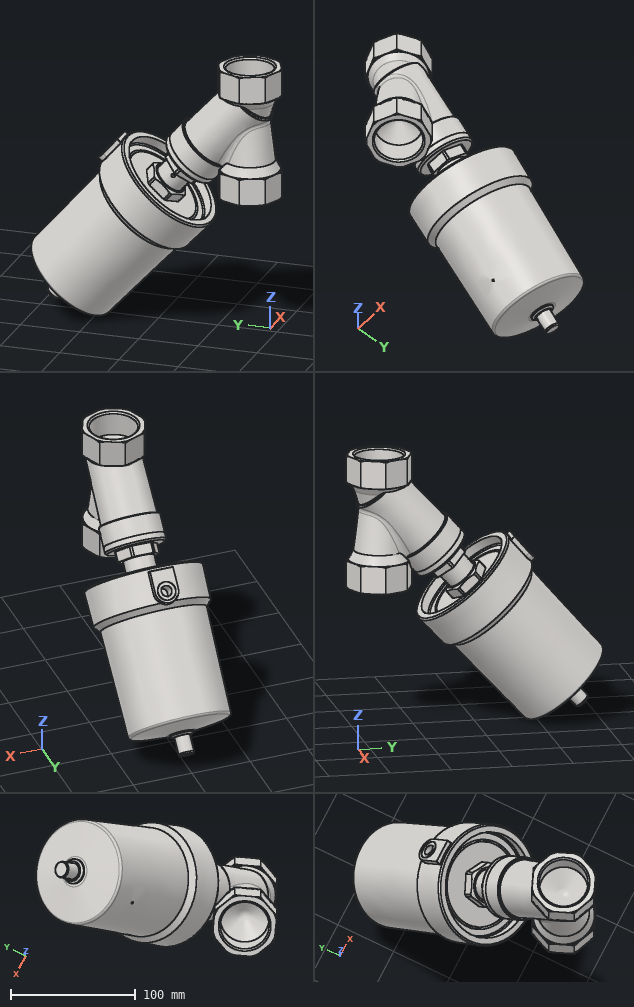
import cadquery as cq
import math

LEAN_ANGLE = 42.0
AXIS_OFFSET = 17.5

BODY_HALF_LENGTH = 55.0
SOCKET_LENGTH = 22.9
NECK_END = BODY_HALF_LENGTH - SOCKET_LENGTH
SOCKET_FLATS = 50.0
SOCKET_FACE_RADIUS = 25.8
SOCKET_BEVEL_ANGLE = 30.0
BORE_RADIUS = 19.5
BORE_MOUTH_RADIUS = 20.98
BORE_DEPTH = 21.0
BORE_POINT_ANGLE = 118.0
SHOULDER_RADIUS = 24.7
NECK_RADIUS = 20.6
LOWER_SHOULDER_HEIGHT = 8.0
UPPER_SHOULDER_HEIGHT = 5.8
LOWER_NECK_TOP = 11.2
LOWER_NECK_TIP_RADIUS = 16.4
UPPER_NECK_BOTTOM = 9.0
UPPER_NECK_TIP_RADIUS = 15.0
NECK_BLEND = 5.5

BRANCH_START = -22.0
BRANCH_START_RADIUS = 22.5
BRANCH_END_RADIUS = 23.3
BRANCH_START_CHAMFER = 1.1
BRANCH_OVERLENGTH = 6.7
SLEEVE_START = 34.3
SLEEVE_RADIUS = 25.4
SLEEVE_START_CHAMFER = 0.7
BONNET_SEAT = 51.0

FLANGE_END = 57.2
FLANGE_CHAMFER = 1.5
HEX_FLATS = 32.0
HEX_CORNER_FLAT = 2.0
BONNET_HEX_END = 66.0
TUBE_RADIUS = 13.0
WEEP_HOLE_DIAMETER = 3.0
WEEP_HOLE_DEPTH = 4.5
WEEP_HOLE_STATION = 71.1

COVER_HEX_START = 81.2
COVER_FACE = 90.6
COVER_RADIUS = 34.3
COVER_THICKNESS = 9.0
COVER_BEVEL_RADIUS = 14.5
COVER_BEVEL_ANGLE = 25.0

HOUSING_START = 81.5
COLLAR_RADIUS = 49.02
COLLAR_REAR_RADIUS = 48.5
COLLAR_CHAMFER = 1.3
COLLAR_END = 111.7
CAN_START = 116.7
CAN_START_RADIUS = 44.0
CAN_END = 206.2
CAN_END_RADIUS = 42.51
CAN_EDGE_FILLET = 2.0
DOME_TOP = 211.0
DOME_FLAT_RADIUS = 12.23
RECESS_RADIUS = 42.51
RECESS_CORNER = 1.1
COVER_POCKET_RADIUS = 36.1
BOSS_TOP = 213.8
BOSS_RIM = 212.2
BOSS_RADIUS = 9.98
BOSS_TOP_RADIUS = 7.96
VENT_DIAMETER = 1.5
VENT_DEPTH = 4.5
VENT_STATION = 180.4

LUG_START = 85.2
PORT_STATION = 103.5
LUG_HALF_WIDTH = 9.9
LUG_DRAFT = 3.0
LUG_HEIGHT = 52.3
LUG_ROOT = 38.1
PORT_DIAMETER = 8.7
PORT_DEPTH = 13.5
PORT_SPOT_DIAMETER = 15.0
PORT_SPOT_DEPTH = 0.5

STEM_RADIUS = 6.5
STEM_TIP_RADIUS = 5.95
STEM_SOCKET_DEPTH = 6.7
STEM_SHOULDER = 227.7
STEM_TIP = 229.0


def turned(profile):
    """Solid of revolution about Z from (radius, height) points."""
    return cq.Workplane("XZ").polyline(profile).close().revolve(360, (0, 0, 0), (0, 1, 0))


def on_actuator_axis(shape):
    """Move a shape built along +Z onto the leaning actuator axis, its -Y side turned up."""
    lean = math.radians(LEAN_ANGLE)
    up_side = cq.Vector(0, math.cos(lean), math.sin(lean))
    axis = cq.Vector(0, math.sin(lean), -math.cos(lean))
    plane = cq.Plane(origin=up_side * AXIS_OFFSET, xDir=(1, 0, 0), normal=axis)
    return shape.val().moved(cq.Location(plane))


def truncated_hexagon(start, end, first_corner):
    """Hexagonal prism with narrow flats on its corners; first_corner is an angle from X."""
    circumradius = HEX_FLATS / math.sqrt(3)
    corner_flats = 2 * circumradius - HEX_CORNER_FLAT / math.sqrt(3)
    prism = cq.Workplane("XY").workplane(offset=start).polygon(6, 2 * circumradius).extrude(end - start)
    cutter = (
        cq.Workplane("XY").workplane(offset=start)
        .polygon(6, corner_flats / math.cos(math.pi / 6)).extrude(end - start)
        .rotate((0, 0, 0), (0, 0, 1), 30)
    )
    return prism.intersect(cutter).rotate((0, 0, 0), (0, 0, 1), first_corner)


def end_socket():
    """Octagonal threaded end at the top of the body, without its bore."""
    circumradius = SOCKET_FLATS / 2 / math.cos(math.pi / 8)
    octagon = cq.Workplane("XY").workplane(offset=NECK_END).polygon(8, 2 * circumradius).extrude(SOCKET_LENGTH)
    drop = (circumradius - SOCKET_FACE_RADIUS) * math.tan(math.radians(SOCKET_BEVEL_ANGLE))
    envelope = turned([
        (0, NECK_END),
        (SOCKET_FACE_RADIUS, NECK_END),
        (circumradius, NECK_END + drop),
        (circumradius, BODY_HALF_LENGTH - drop),
        (SOCKET_FACE_RADIUS, BODY_HALF_LENGTH),
        (0, BODY_HALF_LENGTH),
    ])
    return octagon.intersect(envelope)


def socket_bore():
    """Blind bore at the top of the body, with a chamfered mouth and a drill point."""
    floor = BODY_HALF_LENGTH - BORE_DEPTH
    point = floor - BORE_RADIUS / math.tan(math.radians(BORE_POINT_ANGLE / 2))
    mouth_chamfer = BORE_MOUTH_RADIUS - BORE_RADIUS
    return turned([
        (0, point),
        (BORE_RADIUS, floor),
        (BORE_RADIUS, BODY_HALF_LENGTH - mouth_chamfer),
        (BORE_MOUTH_RADIUS, BODY_HALF_LENGTH),
        (0, BODY_HALF_LENGTH),
    ])


def mirrored_pair(shape):
    """A shape and its copy below the middle of the body."""
    return [shape, shape.mirror("XY")]


def radius_along(start, start_radius, end, end_radius, station):
    """Radius at any station of a straight taper given by its two ends."""
    return start_radius + (end_radius - start_radius) * (station - start) / (end - start)


def blended_branch():
    """Tapered branch joined to the lower neck by a fillet, still overlong at its foot."""
    foot = BRANCH_START - BRANCH_OVERLENGTH
    branch = cq.Workplane(on_actuator_axis(turned([
        (0, foot),
        (radius_along(BRANCH_START, BRANCH_START_RADIUS, SLEEVE_START, BRANCH_END_RADIUS, foot), foot),
        (radius_along(BRANCH_START, BRANCH_START_RADIUS, SLEEVE_START, BRANCH_END_RADIUS, BONNET_SEAT), BONNET_SEAT),
        (0, BONNET_SEAT),
    ])))
    shoulder_top = LOWER_SHOULDER_HEIGHT - NECK_END
    base_radius = radius_along(shoulder_top, NECK_RADIUS, LOWER_NECK_TOP, LOWER_NECK_TIP_RADIUS, -NECK_END)
    neck = turned([
        (0, -NECK_END),
        (base_radius, -NECK_END),
        (LOWER_NECK_TIP_RADIUS, LOWER_NECK_TOP),
        (0, LOWER_NECK_TOP),
    ])
    joined = branch.union(neck)
    saddle = [edge for edge in joined.edges().vals() if edge.geomType() == "BSPLINE"]
    return joined.newObject(saddle).fillet(NECK_BLEND)


def branch_foot_cutter():
    """Cutter that squares off the foot of the branch and chamfers its rim."""
    foot = BRANCH_START - BRANCH_OVERLENGTH
    return cq.Workplane(on_actuator_axis(turned([
        (0, foot),
        (SLEEVE_RADIUS, foot),
        (SLEEVE_RADIUS, BRANCH_START),
        (BRANCH_START_RADIUS, BRANCH_START + BRANCH_START_CHAMFER),
        (BRANCH_START_RADIUS - BRANCH_START_CHAMFER, BRANCH_START),
        (0, BRANCH_START),
    ])))


def make_valve_body():
    lower_shoulder = turned([
        (0, -NECK_END),
        (SHOULDER_RADIUS, -NECK_END),
        (NECK_RADIUS, LOWER_SHOULDER_HEIGHT - NECK_END),
        (0, LOWER_SHOULDER_HEIGHT - NECK_END),
    ])
    upper_neck = turned([
        (0, UPPER_NECK_BOTTOM),
        (UPPER_NECK_TIP_RADIUS, UPPER_NECK_BOTTOM),
        (NECK_RADIUS, NECK_END - UPPER_SHOULDER_HEIGHT),
        (SHOULDER_RADIUS, NECK_END),
        (0, NECK_END),
    ])
    sleeve = cq.Workplane(on_actuator_axis(turned([
        (0, SLEEVE_START),
        (SLEEVE_RADIUS - SLEEVE_START_CHAMFER, SLEEVE_START),
        (SLEEVE_RADIUS, SLEEVE_START + SLEEVE_START_CHAMFER),
        (SLEEVE_RADIUS, BONNET_SEAT),
        (0, BONNET_SEAT),
    ])))
    body = blended_branch().cut(branch_foot_cutter())
    for piece in [lower_shoulder, upper_neck, sleeve, *mirrored_pair(end_socket())]:
        body = body.union(piece)
    for bore in mirrored_pair(socket_bore()):
        body = body.cut(bore)
    return body.val()


def make_bonnet():
    flange = turned([
        (0, BONNET_SEAT),
        (SLEEVE_RADIUS, BONNET_SEAT),
        (SLEEVE_RADIUS, FLANGE_END - FLANGE_CHAMFER),
        (SLEEVE_RADIUS - FLANGE_CHAMFER, FLANGE_END),
        (0, FLANGE_END),
    ])
    hexagon = truncated_hexagon(FLANGE_END, BONNET_HEX_END, first_corner=0)
    tube_length = COVER_HEX_START - FLANGE_END
    tube = cq.Workplane("XY").workplane(offset=FLANGE_END).circle(TUBE_RADIUS).extrude(tube_length)
    weep_hole = (
        cq.Workplane("YZ").workplane(offset=-TUBE_RADIUS).center(0, WEEP_HOLE_STATION)
        .circle(WEEP_HOLE_DIAMETER / 2).extrude(WEEP_HOLE_DEPTH)
    )
    return on_actuator_axis(flange.union(hexagon).union(tube).cut(weep_hole))


def make_cover():
    disc = cq.Workplane("XY").workplane(offset=COVER_FACE).circle(COVER_RADIUS).extrude(COVER_THICKNESS)
    hexagon = truncated_hexagon(COVER_HEX_START, COVER_FACE, first_corner=90)
    bevel_drop = (HEX_FLATS - COVER_BEVEL_RADIUS) * math.tan(math.radians(COVER_BEVEL_ANGLE))
    bevel_envelope = turned([
        (0, COVER_HEX_START),
        (COVER_BEVEL_RADIUS, COVER_HEX_START),
        (HEX_FLATS, COVER_HEX_START + bevel_drop),
        (HEX_FLATS, COVER_FACE),
        (0, COVER_FACE),
    ])
    return on_actuator_axis(disc.union(hexagon.intersect(bevel_envelope)))


def air_port_lug():
    """Drafted lug on the -Y side of the collar, rounded behind the port."""
    profile = (
        cq.Workplane("XZ").workplane(offset=LUG_HEIGHT)
        .moveTo(-LUG_HALF_WIDTH, LUG_START)
        .lineTo(-LUG_HALF_WIDTH, PORT_STATION)
        .threePointArc((0, PORT_STATION + LUG_HALF_WIDTH), (LUG_HALF_WIDTH, PORT_STATION))
        .lineTo(LUG_HALF_WIDTH, LUG_START)
        .close()
    )
    return profile.extrude(-(LUG_HEIGHT - LUG_ROOT), taper=-LUG_DRAFT)


def side_hole(diameter, station, outer, depth, side):
    """Cutter for a round hole running inward from the outer distance, on the +Y or -Y side."""
    hole = cq.Workplane("XZ").workplane(offset=outer - depth).center(0, station)
    hole = hole.circle(diameter / 2).extrude(depth)
    return hole if side < 0 else hole.mirror("XZ")


def make_housing():
    can = turned([
        (0, HOUSING_START),
        (COLLAR_RADIUS - COLLAR_CHAMFER, HOUSING_START),
        (COLLAR_RADIUS, HOUSING_START + COLLAR_CHAMFER),
        (COLLAR_REAR_RADIUS, COLLAR_END),
        (CAN_START_RADIUS, CAN_START),
        (CAN_END_RADIUS, CAN_END),
        (DOME_FLAT_RADIUS, DOME_TOP),
        (0, DOME_TOP),
    ])
    can = can.edges(cq.selectors.BoxSelector(
        (-COLLAR_RADIUS, -COLLAR_RADIUS, CAN_END - CAN_EDGE_FILLET),
        (COLLAR_RADIUS, COLLAR_RADIUS, CAN_END + CAN_EDGE_FILLET),
    )).edges("%CIRCLE").fillet(CAN_EDGE_FILLET)
    boss = turned([
        (0, CAN_END),
        (BOSS_RADIUS, CAN_END),
        (BOSS_RADIUS, BOSS_RIM),
        (BOSS_TOP_RADIUS, BOSS_TOP),
        (0, BOSS_TOP),
    ])
    mouth = turned([
        (0, HOUSING_START),
        (RECESS_RADIUS, HOUSING_START),
        (RECESS_RADIUS, COVER_FACE - RECESS_CORNER),
        (RECESS_RADIUS - RECESS_CORNER, COVER_FACE),
        (COVER_POCKET_RADIUS, COVER_FACE),
        (COVER_POCKET_RADIUS, COVER_FACE + COVER_THICKNESS),
        (0, COVER_FACE + COVER_THICKNESS),
    ])
    stem_socket = (
        cq.Workplane("XY").workplane(offset=BOSS_TOP - STEM_SOCKET_DEPTH)
        .circle(STEM_RADIUS).extrude(STEM_SOCKET_DEPTH)
    )
    housing = can.union(air_port_lug()).union(boss).cut(mouth).cut(stem_socket)
    housing = housing.cut(side_hole(PORT_SPOT_DIAMETER, PORT_STATION, LUG_HEIGHT, PORT_SPOT_DEPTH, side=-1))
    housing = housing.cut(side_hole(PORT_DIAMETER, PORT_STATION, LUG_HEIGHT, PORT_DEPTH, side=-1))
    housing = housing.cut(side_hole(VENT_DIAMETER, VENT_STATION, CAN_START_RADIUS, VENT_DEPTH, side=1))
    return on_actuator_axis(housing)


def make_stem():
    return on_actuator_axis(turned([
        (0, BOSS_TOP - STEM_SOCKET_DEPTH),
        (STEM_RADIUS, BOSS_TOP - STEM_SOCKET_DEPTH),
        (STEM_RADIUS, STEM_SHOULDER),
        (STEM_TIP_RADIUS, STEM_TIP),
        (0, STEM_TIP),
    ]))


valve_body = make_valve_body()
bonnet = make_bonnet()
cover = make_cover()
housing = make_housing()
stem = make_stem()

result = cq.Compound.makeCompound([valve_body, bonnet, cover, housing, stem])